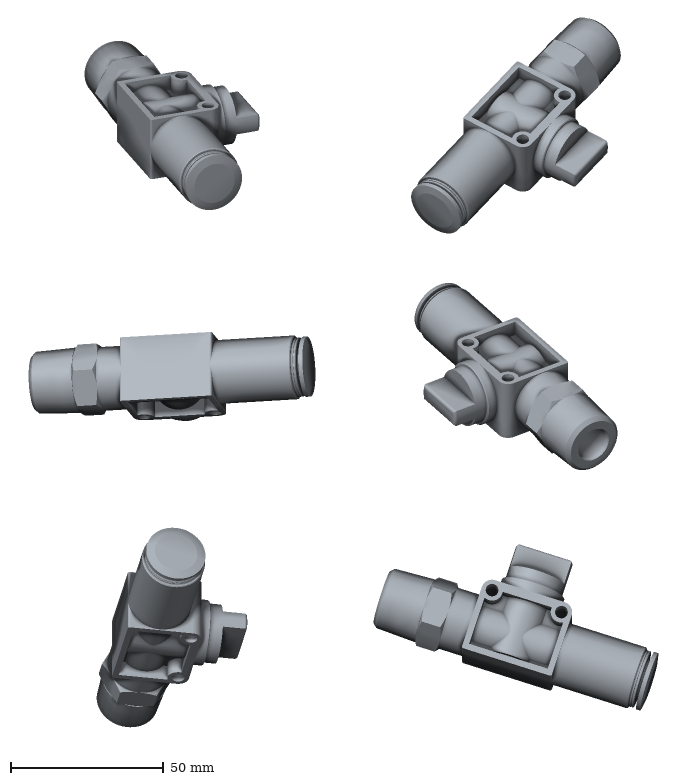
import cadquery as cq
import math


length = 93.0
total_width = 42.6
left_x = -46.5
right_x = left_x + length

sleeve_dia = 21.0
hex_flats = sleeve_dia
hex_start_x = -31.6
hex_end_x = -23.4
hex_chamfer_angle = 30.0

thread_tip_dia = 20.5
thread_root_dia = 21.7
thread_chamfer = 1.3
bore_dia = 12.0

sleeve_end_x = 41.85
sleeve_end_chamfer = 0.3
ring_dia = 19.5
groove_dia = 18.6
groove_width = 0.3
ring_width = 0.6
ring_chamfer = 0.2
neck_dia = 14.1
flange_dia = 19.8
flange_start_x = 44.55
flange_edge_x = 45.9

body_length = 31.1
body_height = 21.7
body_top_y = 14.6
body_bottom_y = -sleeve_dia / 2
body_edge_radius = 0.65
mount_hole_dia = 4.2
mount_hole_x = 12.0
boss_radius = body_length / 2 - mount_hole_x
mount_hole_y = body_top_y - boss_radius
mount_points = [(-mount_hole_x, 0), (mount_hole_x, 0)]

pocket_length = 27.2
pocket_top_y = 11.6
pocket_bottom_y = -8.5
pocket_floor_z = 5.5
flow_tube_dia = 16.8
stem_tube_dia = 17.5
stem_tube_bottom_y = -7.4
stem_tip_dia = 14.1

collar_dia = body_height
collar_top_y = 18.0
collar_chamfer = 0.3
knob_dia = 19.5
knob_shoulder_y = 22.2
blade_thickness = 5.95
blade_end_fillet = 1.0

hex_corner_radius = hex_flats / 2 / math.cos(math.radians(30))
knob_top_y = total_width - hex_corner_radius


def x_cylinder(diameter, start_x, end_x):
    return cq.Workplane("YZ", origin=(start_x, 0, 0)).circle(diameter / 2).extrude(end_x - start_x)


def y_cylinder(diameter, start_y, end_y):
    return cq.Workplane("XZ", origin=(0, start_y, 0)).circle(diameter / 2).extrude(start_y - end_y)


def revolve_about_x(points):
    return cq.Workplane("XY").polyline(points).close().revolve(360, (0, 0, 0), (1, 0, 0))


def make_thread():
    tip_radius = thread_tip_dia / 2
    return revolve_about_x([
        (left_x, 0),
        (left_x, tip_radius - thread_chamfer),
        (left_x + thread_chamfer, tip_radius),
        (hex_start_x, thread_root_dia / 2),
        (hex_start_x, 0),
    ])


def make_hexagon():
    hexagon = (
        cq.Workplane("YZ", origin=(hex_start_x, 0, 0))
        .polygon(6, 2 * hex_corner_radius)
        .extrude(hex_end_x - hex_start_x)
    )
    face_radius = hex_flats / 2
    bevel = (hex_corner_radius - face_radius) * math.tan(math.radians(hex_chamfer_angle))
    envelope = revolve_about_x([
        (hex_start_x, 0),
        (hex_start_x, face_radius),
        (hex_start_x + bevel, hex_corner_radius),
        (hex_end_x - bevel, hex_corner_radius),
        (hex_end_x, face_radius),
        (hex_end_x, 0),
    ])
    return hexagon.intersect(envelope)


def make_sleeve():
    sleeve = x_cylinder(sleeve_dia, hex_end_x, sleeve_end_x)
    return sleeve.faces(">X").edges().chamfer(sleeve_end_chamfer)


def make_release_collar():
    collar = x_cylinder(neck_dia, sleeve_end_x, flange_start_x)
    start_x = sleeve_end_x
    for _ in range(2):
        ring_x = start_x + groove_width
        collar = collar.union(x_cylinder(groove_dia, start_x, ring_x))
        end_x = ring_x + ring_width
        ring = x_cylinder(ring_dia, ring_x, end_x).edges().chamfer(ring_chamfer)
        collar = collar.union(ring)
        start_x = end_x
    flange = revolve_about_x([
        (flange_start_x, 0),
        (flange_start_x, flange_dia / 2),
        (flange_edge_x, flange_dia / 2),
        (right_x, neck_dia / 2),
        (right_x, 0),
    ])
    return collar.union(flange)


def make_pocket():
    pocket_depth = body_height / 2 - pocket_floor_z
    pocket = (
        cq.Workplane("XY", origin=(0, 0, pocket_floor_z))
        .center(0, (pocket_top_y + pocket_bottom_y) / 2)
        .rect(pocket_length, pocket_top_y - pocket_bottom_y)
        .extrude(pocket_depth)
    )
    bosses = (
        cq.Workplane("XY", origin=(0, mount_hole_y, pocket_floor_z))
        .pushPoints(mount_points)
        .circle(boss_radius)
        .extrude(pocket_depth)
    )
    return pocket.cut(bosses)


def make_housing():
    housing = (
        cq.Workplane("XY", origin=(0, (body_top_y + body_bottom_y) / 2, 0))
        .box(body_length, body_top_y - body_bottom_y, body_height)
    )
    housing = housing.edges("|Z and >Y").fillet(boss_radius)
    housing = housing.edges("|Z and <Y").fillet(body_edge_radius)

    pocket = make_pocket()
    housing = housing.cut(pocket).cut(pocket.mirror("XY"))

    half_length = body_length / 2
    flow_tube = x_cylinder(flow_tube_dia, -half_length, half_length)
    stem_tube = y_cylinder(stem_tube_dia, stem_tube_bottom_y, pocket_top_y)
    stem_tip = y_cylinder(stem_tip_dia, pocket_bottom_y, stem_tube_bottom_y)
    return housing.union(flow_tube).union(stem_tube).union(stem_tip)


def make_knob():
    blade = y_cylinder(knob_dia, knob_shoulder_y, knob_top_y).intersect(
        cq.Workplane("XY").box(knob_dia, 2 * knob_top_y, blade_thickness)
    )
    blade = blade.faces(">Y").edges().fillet(blade_end_fillet)
    collar = y_cylinder(collar_dia, body_top_y, collar_top_y)
    collar = collar.faces(">Y").edges().chamfer(collar_chamfer)
    grip = y_cylinder(knob_dia, collar_top_y, knob_shoulder_y)
    return collar.union(grip).union(blade)


fitting = make_thread().union(make_hexagon()).union(make_sleeve()).union(make_release_collar())
housing_gap = cq.Workplane("XY").box(pocket_length, total_width, body_height)
valve = fitting.cut(housing_gap).union(make_housing()).union(make_knob())

valve = valve.cut(x_cylinder(bore_dia, left_x, hex_end_x))

mount_holes = (
    cq.Workplane("XY", origin=(0, mount_hole_y, -body_height / 2))
    .pushPoints(mount_points)
    .circle(mount_hole_dia / 2)
    .extrude(body_height)
)
result = valve.cut(mount_holes)